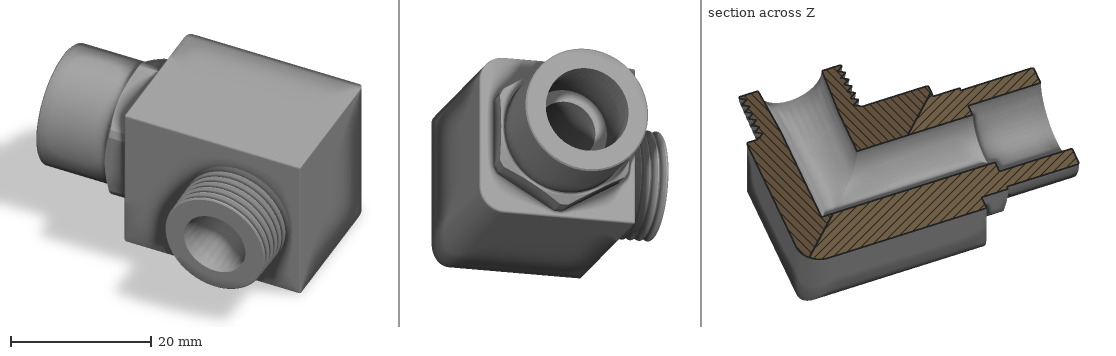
import cadquery as cq
import math


total_length = 42.95
block_size = 23.1
block_half = block_size / 2
block_start = 15.1
back_round = 3.65
edge_round = 0.3
far_edge_round = 0.17

tube_radius = 9.1
tube_end_chamfer = 0.2
socket_radius = 6.15
flow_radius = 4.42

hex_start = 11.08
hex_across_flats = 19.05
hex_corner_radius = 10.7
hex_chamfer_angle = 30.0

outlet_x = 33.2
outlet_length = 7.9
outlet_mouth_radius = 4.85
sharp_crest_radius = 8.03
root_radius = 7.0
crest_drop_per_turn = 0.03
thread_count = 6
last_crest_to_end = 0.25
outlet_end_radius = 7.7

step_start = 25.55
step_end = 31.45
parting_reach = 25.75

outlet_end_y = -block_half - outlet_length


def revolved_about_x(points):
    return cq.Workplane("XY").polyline(points).close().revolve(360, (0, 0), (1, 0))


def revolved_about_outlet(points):
    outline = cq.Workplane("XY").polyline([(outlet_x + r, y) for r, y in points]).close()
    return outline.revolve(360, (outlet_x, 0), (outlet_x, 1))


def make_block():
    """Block with large rounds on three +Y edges and small rounds on the others.

    The large rounds along X and the upright one are cut as two shapes and intersected,
    so that they meet in a clean seam at the far corner.
    """
    lengthwise = (
        cq.Workplane("XY")
        .box(total_length - block_start, block_size, block_size)
        .translate(((total_length + block_start) / 2, 0, 0))
    )
    corner_rounded = lengthwise.edges("|Z and >X and >Y").fillet(back_round)
    sides_rounded = lengthwise.edges("|X and >Y").fillet(back_round)
    far_end_rounded = corner_rounded.edges("(>Z or <Z) and >X").fillet(far_edge_round)
    block = far_end_rounded.intersect(sides_rounded)
    return block.faces("<X or <Y").edges().fillet(edge_round)


def make_tube():
    tube = cq.Workplane("YZ").circle(tube_radius).extrude(block_start)
    return tube.faces("<X").chamfer(tube_end_chamfer)


def make_hexagon():
    """Hexagon with a corner up, its corners turned down and its free end chamfered."""
    length = block_start - hex_start
    across_corners = hex_across_flats / math.cos(math.radians(30))
    prism = (
        cq.Workplane("YZ", origin=(hex_start, 0, 0))
        .transformed(rotate=(0, 0, 90))
        .polygon(6, across_corners)
        .extrude(length)
    )
    face_radius = hex_across_flats / 2
    chamfer_length = (hex_corner_radius - face_radius) * math.tan(math.radians(hex_chamfer_angle))
    turned = revolved_about_x(
        [
            (hex_start, 0),
            (hex_start, face_radius),
            (hex_start + chamfer_length, hex_corner_radius),
            (block_start, hex_corner_radius),
            (block_start, 0),
        ]
    )
    return prism.intersect(turned)


def make_outlet():
    """Outlet with V-shaped thread rings whose crests are cut lower and flatter toward the end."""
    pitch = (outlet_length - last_crest_to_end) / thread_count
    flank_slope = (sharp_crest_radius - root_radius) / (pitch / 2)
    points = [(0, 0), (sharp_crest_radius, 0), (sharp_crest_radius, -block_half)]
    for turn in range(1, thread_count + 1):
        crest_y = -block_half - turn * pitch
        crest_drop = turn * crest_drop_per_turn
        half_flat = crest_drop / flank_slope
        points.append((root_radius, crest_y + pitch / 2))
        points.append((sharp_crest_radius - crest_drop, crest_y + half_flat))
        points.append((sharp_crest_radius - crest_drop, crest_y - half_flat))
    points.append((outlet_end_radius, outlet_end_y))
    points.append((0, outlet_end_y))
    return revolved_about_outlet(points)


def make_passage():
    """Elbow passage with a mitred corner, an inlet socket and a tapered outlet mouth."""
    path = cq.Workplane("XY").polyline([(0, 0), (outlet_x, 0), (outlet_x, outlet_end_y)])
    elbow_bore = cq.Workplane("YZ").circle(flow_radius).sweep(path, transition="right")
    socket = cq.Workplane("YZ").circle(socket_radius).extrude(hex_start)
    tapered_mouth = revolved_about_outlet(
        [
            (0, outlet_end_y),
            (outlet_mouth_radius, outlet_end_y),
            (flow_radius, -block_half),
            (0, -block_half),
        ]
    )
    return elbow_bore.union(socket).union(tapered_mouth)


def make_inlet_side():
    """Region on the inlet side of the stepped parting face."""
    outline = [
        (step_start - parting_reach, -parting_reach),
        (step_start, 0),
        (step_end, 0),
        (step_end + parting_reach, parting_reach),
        (-parting_reach, parting_reach),
        (-parting_reach, -parting_reach),
    ]
    return cq.Workplane("XY").polyline(outline).close().extrude(block_half, both=True)


elbow = make_block().union(make_tube()).union(make_hexagon()).union(make_outlet())
elbow = elbow.cut(make_passage())
inlet_side = make_inlet_side()
inlet_body = elbow.intersect(inlet_side)
outlet_body = elbow.cut(inlet_side)

result = cq.Compound.makeCompound([inlet_body.val(), outlet_body.val()])